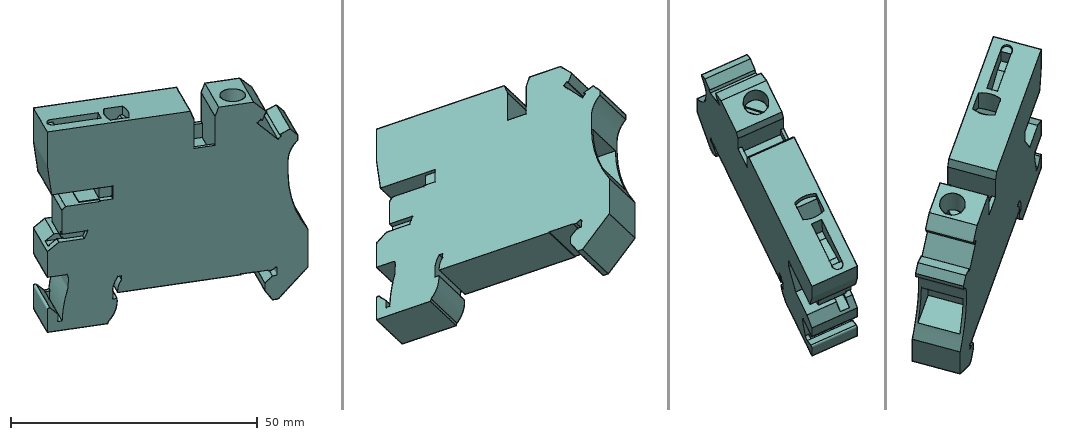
import cadquery as cq

WIDTH = 10.2
LENGTH = 55.0
HEIGHT = 46.85

REAR_FOOT_START = 48.7
REAR_FOOT_Z = 6.55
REAR_EDGE_Z = 15.25
WAIST_Y = 50.75
WAIST_LOW = 29.1
WAIST_HIGH = 32.0
NOSE_Y = 52.8
NOSE_LOW = 36.45
NOSE_HIGH = 37.7
SEAT_LOWER_LIP = (51.2, 39.4)
SEAT_UPPER_LIP = (46.15, 44.2)
TOP_REAR_Y = 43.5

DIVIDER_FRONT = 30.95
DIVIDER_REAR = 35.35
DIVIDER_FLOOR = 38.05
DIVIDER_FLARE_Z = 44.8
DIVIDER_FLARE = 0.75
DIVIDER_POCKET_X = (0.9, 9.5)
DIVIDER_POCKET_DEPTH = 3.3

POCKET_BACK = 11.1
POCKET_TOP = 32.0
POCKET_SLOPE_TOP = 28.4
POCKET_FLOOR = 20.7
POCKET_FLOOR_BACK = 7.8
LEDGE_Y = 2.4
LEDGE_Z = 18.85
BROW_Y = 0.95
BROW_TOP = 39.1
TAB_LEFT = 2.9
TAB_FRONT = 3.1
TAB_TOP = 28.8
TAB_EDGE = 0.75
TAB_STEP_Y = 6.9
TAB_STEP_RISE = 0.15
SIDE_STRIP_LEFT = 9.35
BACK_RECESS_DEPTH = 2.75
TAB_GAP_TOP = 29.2
TAB_NOTCH_LEFT = 9.0
TAB_NOTCH_TOP = 22.45

GROOVE_X = 7.65
GROOVE_WIDTH = 2.05
PIN_Y = 4.95
GROOVE_FLOOR = 19.3

LATCH_BACK_FOOT = 3.15
LATCH_FLOOR = 3.95
LATCH_FLOOR_FRONT = 2.25
LATCH_FLOOR_RIGHT = 0.8
LATCH_DEEP_FLOOR = 2.2

SCREW_X = 6.25
SCREW_Y = 40.2
SCREW_RADIUS = 2.6
SCREW_DEPTH = 6.6
DRIVE_WIDTH = 0.95
DRIVE_DEPTH = 0.8
DRIVE_ANGLE = -43.0

WINDOW_X = 6.7
WINDOW_WIDTH = 4.75
WINDOW_FRONT = 13.1
WINDOW_REAR = 18.05
WINDOW_BULGE = 0.52
WINDOW_LEDGE_Y = 17.0
WINDOW_LEDGE_DEPTH = 2.0
WINDOW_DEPTH = 6.6
PROBE_X = 6.65
PROBE_WIDTH = 2.25
PROBE_FRONT = 1.0
PROBE_REAR = 12.05
PROBE_DEPTH = 6.6
PROBE_HIGH_DEPTH = 4.4
PROBE_LEAN = 0.45
PROBE_RAMP = (4.75, 10.0)
PROBE_LEDGE_Y = 2.55
PROBE_LEDGE_DEPTH = 0.65

WIRE_X = (0.7, 9.55)
WIRE_LOW_Z = 18.8
WIRE_FRONT = 46.2


def prism(sketch, x_from=0.0, x_to=WIDTH):
    """Extrude a closed YZ outline between two X positions."""
    return sketch.extrude(x_to - x_from).translate((x_from, 0, 0))


def polygon(points, x_from=0.0, x_to=WIDTH):
    return prism(cq.Workplane("YZ").polyline(points).close(), x_from, x_to)


def box(x_range, y_range, z_range):
    sizes = [high - low for low, high in (x_range, y_range, z_range)]
    corner = (x_range[0], y_range[0], z_range[0])
    return cq.Workplane("XY").box(*sizes, centered=False).translate(corner)


def envelope():
    """Outer side outline, before any openings are cut."""
    return prism(
        cq.Workplane("YZ")
        .moveTo(0, 0)
        .lineTo(REAR_FOOT_START, 0)
        .lineTo(LENGTH, REAR_FOOT_Z)
        .lineTo(LENGTH, REAR_EDGE_Z)
        .threePointArc((51.75, 22.3), (WAIST_Y, WAIST_LOW))
        .lineTo(WAIST_Y, WAIST_HIGH)
        .threePointArc((51.4, 34.65), (NOSE_Y, NOSE_LOW))
        .lineTo(NOSE_Y, NOSE_HIGH)
        .lineTo(*SEAT_LOWER_LIP)
        .lineTo(*SEAT_UPPER_LIP)
        .lineTo(45.9, 44.5)
        .lineTo(TOP_REAR_Y, HEIGHT)
        .lineTo(0, HEIGHT)
        .close()
    )


def marker_seat():
    """Sloped seat with a small undercut at both ends."""
    return polygon([
        SEAT_LOWER_LIP, (48.95, 38.4), (49.35, 38.05), (48.6, 37.35),
        (44.2, 41.85), (45.0, 42.55), (45.3, 42.25), SEAT_UPPER_LIP,
    ])


def divider_slot():
    slot = polygon([
        (DIVIDER_FRONT - DIVIDER_FLARE, HEIGHT), (DIVIDER_FRONT, DIVIDER_FLARE_Z),
        (DIVIDER_FRONT, DIVIDER_FLOOR), (DIVIDER_REAR, DIVIDER_FLOOR),
        (DIVIDER_REAR, DIVIDER_FLARE_Z), (DIVIDER_REAR + DIVIDER_FLARE, HEIGHT),
    ])
    floor_pocket = box(
        DIVIDER_POCKET_X,
        (DIVIDER_FRONT, DIVIDER_REAR),
        (DIVIDER_FLOOR - DIVIDER_POCKET_DEPTH, DIVIDER_FLOOR),
    )
    return slot.union(floor_pocket)


def front_pocket():
    pocket = polygon([
        (0, LEDGE_Z), (LEDGE_Y, POCKET_FLOOR), (POCKET_FLOOR_BACK, POCKET_FLOOR),
        (POCKET_BACK, POCKET_SLOPE_TOP), (POCKET_BACK, POCKET_TOP),
        (BROW_Y, POCKET_TOP), (0, BROW_TOP),
    ])
    recess_y = (POCKET_BACK, POCKET_BACK + BACK_RECESS_DEPTH)
    side_strip = box(
        (SIDE_STRIP_LEFT, WIDTH),
        recess_y,
        (TAB_TOP + TAB_STEP_RISE, POCKET_TOP),
    )
    tab_gap = box(
        (TAB_LEFT, WIDTH),
        recess_y,
        (TAB_TOP + TAB_STEP_RISE, TAB_GAP_TOP),
    )
    return pocket.union(side_strip).union(tab_gap)


def front_tab():
    """Tab filling the pocket beside the left wall."""
    tab = polygon([
        (POCKET_BACK, TAB_TOP), (TAB_FRONT + TAB_EDGE, TAB_TOP),
        (TAB_FRONT, TAB_TOP - TAB_EDGE), (TAB_FRONT, POCKET_FLOOR + TAB_EDGE),
        (TAB_FRONT + TAB_EDGE, POCKET_FLOOR), (POCKET_FLOOR_BACK, POCKET_FLOOR),
        (POCKET_BACK, POCKET_SLOPE_TOP),
    ], TAB_LEFT, WIDTH)
    step = box(
        (TAB_LEFT, SIDE_STRIP_LEFT),
        (TAB_STEP_Y, POCKET_BACK),
        (TAB_TOP, TAB_TOP + TAB_STEP_RISE),
    )
    slope = (POCKET_BACK - POCKET_FLOOR_BACK) / (POCKET_SLOPE_TOP - POCKET_FLOOR)
    notch_back = POCKET_FLOOR_BACK + slope * (TAB_NOTCH_TOP - POCKET_FLOOR)
    notch = polygon([
        (TAB_FRONT, POCKET_FLOOR), (POCKET_FLOOR_BACK, POCKET_FLOOR),
        (notch_back, TAB_NOTCH_TOP), (TAB_FRONT, TAB_NOTCH_TOP),
    ], TAB_NOTCH_LEFT, WIDTH)
    return tab.union(step).cut(notch)


def ledge_groove():
    half = GROOVE_WIDTH / 2
    groove = box(
        (GROOVE_X - half, GROOVE_X + half),
        (0, PIN_Y),
        (GROOVE_FLOOR, POCKET_FLOOR),
    )
    pin = (
        cq.Workplane("XY", origin=(GROOVE_X, PIN_Y, GROOVE_FLOOR))
        .circle(half)
        .extrude(POCKET_FLOOR - GROOVE_FLOOR)
    )
    return groove.cut(pin)


def latch_recess():
    """Recess in the front face above the foot lip; a raised floor stands at its left end."""
    recess = prism(
        cq.Workplane("YZ")
        .moveTo(0, 12.85)
        .lineTo(4.2, 12.85)
        .threePointArc((4.4, 12.3), (4.45, 11.45))
        .lineTo(4.35, 9.6)
        .threePointArc((3.7, 7.05), (LATCH_BACK_FOOT, LATCH_DEEP_FLOOR))
        .lineTo(LATCH_FLOOR_FRONT, LATCH_DEEP_FLOOR)
        .lineTo(LATCH_FLOOR_FRONT, LATCH_FLOOR)
        .lineTo(0.6, 5.6)
        .threePointArc((0.2, 5.6), (0, 5.35))
        .close()
    )
    raised_floor = prism(
        cq.Workplane("YZ")
        .moveTo(LATCH_FLOOR_FRONT, LATCH_DEEP_FLOOR)
        .lineTo(LATCH_FLOOR_FRONT, LATCH_FLOOR)
        .lineTo(2.75, LATCH_FLOOR)
        .tangentArcPoint((3.35, 4.5), relative=False)
        .lineTo(3.35, LATCH_DEEP_FLOOR)
        .close(),
        0, LATCH_FLOOR_RIGHT,
    )
    return recess.cut(raised_floor)


def rail_channel():
    """Opening for the mounting rail, with the curved relief behind the front foot."""
    return prism(
        cq.Workplane("YZ")
        .moveTo(12.75, 0)
        .lineTo(12.9, 0.55)
        .threePointArc((14.35, 2.8), (14.75, 5.6))
        .lineTo(13.8, 5.6)
        .lineTo(13.8, 7.1)
        .threePointArc((14.1, 9.15), (14.85, 10.65))
        .lineTo(15.7, 10.65)
        .lineTo(15.7, 9.85)
        .threePointArc((15.05, 8.7), (14.85, 6.95))
        .lineTo(40.8, 6.95)
        .lineTo(40.8, 7.1)
        .lineTo(46.5, 7.1)
        .lineTo(46.6, 6.95)
        .lineTo(47.25, 6.95)
        .lineTo(48.2, 7.5)
        .lineTo(48.45, 7.3)
        .lineTo(48.45, 5.95)
        .threePointArc((48.35, 5.7), (48.1, 5.6))
        .lineTo(47.45, 5.6)
        .lineTo(45.85, 4.2)
        .lineTo(45.85, 2.4)
        .lineTo(47.45, 0)
        .close()
    )


def screw_hole():
    """Blind hole whose floor carries an angled driver slot."""
    floor_z = HEIGHT - SCREW_DEPTH
    hole = (
        cq.Workplane("XY", origin=(SCREW_X, SCREW_Y, floor_z))
        .circle(SCREW_RADIUS)
        .extrude(SCREW_DEPTH)
    )
    head_edge = (
        cq.Workplane("XY", origin=(SCREW_X, SCREW_Y, floor_z - DRIVE_DEPTH))
        .circle(SCREW_RADIUS)
        .extrude(DRIVE_DEPTH)
    )
    drive = (
        cq.Workplane("XY", origin=(SCREW_X, SCREW_Y, floor_z - DRIVE_DEPTH))
        .transformed(rotate=(0, 0, DRIVE_ANGLE))
        .rect(2 * SCREW_RADIUS, DRIVE_WIDTH)
        .extrude(DRIVE_DEPTH)
    )
    return hole.union(drive.intersect(head_edge))


def window():
    """Window with bowed ends, a rear ledge and a steep sloped floor."""
    half = WINDOW_WIDTH / 2
    floor_z = HEIGHT - WINDOW_DEPTH
    ledge_z = HEIGHT - WINDOW_LEDGE_DEPTH
    shaft = (
        cq.Workplane("XY", origin=(WINDOW_X, 0, floor_z))
        .moveTo(-half, WINDOW_FRONT + WINDOW_BULGE)
        .threePointArc((0, WINDOW_FRONT), (half, WINDOW_FRONT + WINDOW_BULGE))
        .lineTo(half, WINDOW_REAR - WINDOW_BULGE)
        .threePointArc((0, WINDOW_REAR), (-half, WINDOW_REAR - WINDOW_BULGE))
        .close()
        .extrude(WINDOW_DEPTH)
    )
    clearance = polygon([
        (WINDOW_FRONT, HEIGHT), (WINDOW_FRONT, floor_z),
        (WINDOW_LEDGE_Y, ledge_z), (WINDOW_REAR, ledge_z), (WINDOW_REAR, HEIGHT),
    ])
    return shaft.intersect(clearance)


def probe_slot():
    """Narrow slot with a round front end, a ramped floor and a shallow front ledge."""
    radius = PROBE_WIDTH / 2
    floor_z = HEIGHT - PROBE_DEPTH
    high_z = HEIGHT - PROBE_HIGH_DEPTH
    ledge_z = HEIGHT - PROBE_LEDGE_DEPTH
    ramp_front, ramp_rear = PROBE_RAMP
    shaft = (
        cq.Workplane("XY", origin=(PROBE_X, 0, floor_z))
        .moveTo(-radius, PROBE_REAR)
        .lineTo(-radius, PROBE_FRONT + radius)
        .threePointArc((0, PROBE_FRONT), (radius, PROBE_FRONT + radius))
        .lineTo(radius, PROBE_REAR)
        .close()
        .extrude(PROBE_DEPTH)
    )
    clearance = polygon([
        (PROBE_FRONT, HEIGHT), (PROBE_FRONT, ledge_z), (PROBE_LEDGE_Y, ledge_z),
        (PROBE_LEDGE_Y, high_z), (ramp_front, high_z), (ramp_rear, floor_z),
        (PROBE_REAR - PROBE_LEAN, floor_z), (PROBE_REAR, HEIGHT),
    ])
    return shaft.intersect(clearance)


def wire_entry():
    """Rectangular entry in the rear flank, between the rear edge and the waist."""
    return box(WIRE_X, (WIRE_FRONT, LENGTH), (WIRE_LOW_Z, WAIST_LOW))


body = envelope()
for opening in (marker_seat, divider_slot, front_pocket, latch_recess, rail_channel):
    body = body.cut(opening())
body = body.union(front_tab())
for opening in (ledge_groove, screw_hole, window, probe_slot, wire_entry):
    body = body.cut(opening())

result = body